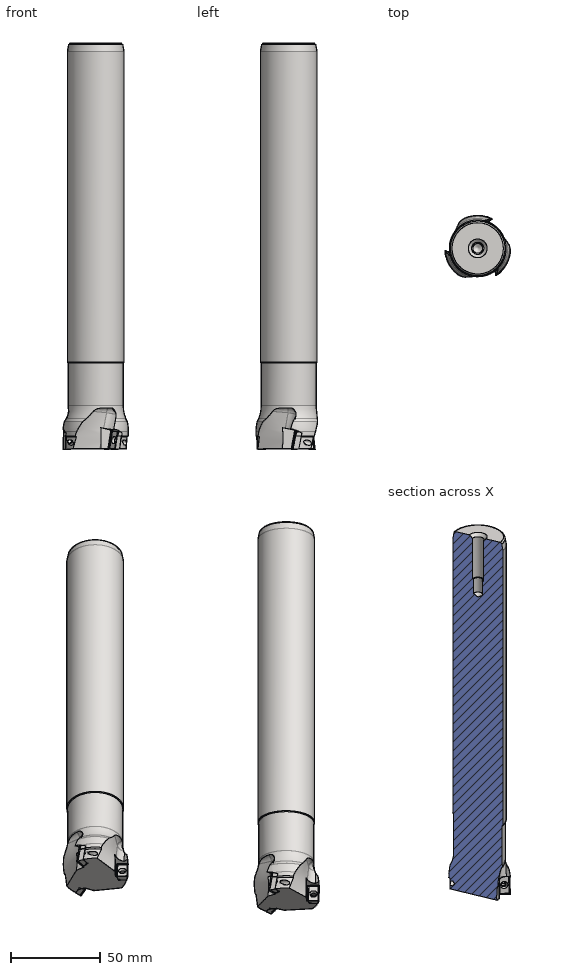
import cadquery as cq
import math

TOTAL_LENGTH = 228.0
FLUTE_COUNT = 3
FLUTE_PITCH = 360 / FLUTE_COUNT

SHANK_RADIUS = 16.0
COLLAR_TOP_RADIUS = 15.3
COLLAR_LENGTH = 4.8
TOP_CHAMFER = 1.0
SHANK_BOTTOM_Z = 49.0
NECK_RADIUS = 15.5

HEAD_BOTTOM_Z = 0.5
HEAD_RADIUS = 18.5
FLARE_TOP_Z = 24.6
FLARE_BOTTOM_Z = 17.5
FLARE_BOTTOM_RADIUS = 16.9
FLARE_SWELL = 0.35
CONE_BOTTOM_Z = 15.7
CONE_BOTTOM_RADIUS = 17.8
SHOULDER_Z = 10.3
SHOULDER_DROP = 0.2
RELIEF_TOP_Z = 7.0
RELIEF_RADIUS = 17.8

BORE_MOUTH_RADIUS = 5.2
BORE_MOUTH_DEPTH = 1.8
BORE_RADIUS = 3.5
BORE_DEPTH = 27.4
PILOT_RADIUS = 2.7
PILOT_DEPTH = 36.5
PILOT_TIP_DEPTH = 1.5

FLUTE_START_Z = -1.1
FLUTE_END_Z = 23.5
START_POINTS = ((-14.0, -12.0), (2.0, -12.0), (7.8, -14.4))
END_POINTS = ((-3.2, -17.8), (6.5, -11.2), (12.3, -11.2))
FLUTE_REACH = 36.5
FLUTE_RUNOUT_RADIUS = 3.0

INSERT_LENGTH = 11.2
INSERT_WIDTH = 6.5
INSERT_THICKNESS = 3.6
INSERT_CLEARANCE = 15.0
INSERT_CORNER_RADIUS = 0.7
TIP_RADIUS = 18.5
TIP_ANGLE = 306.3
AXIAL_RAKE = 11.0
WIPER_ANGLE = 3.0
CHIP_GROOVE_LAND = 0.7
CHIP_GROOVE_DEPTH = 0.5
SCREW_HOLE_RADIUS = 1.4
SCREW_HOLE_LENGTH = 20.5
COUNTERSINK_RADIUS = 2.3
COUNTERSINK_DEPTH = 1.4
POCKET_HEADROOM = 9.1
POCKET_SIDE_GAP = 0.5
POCKET_OVERRUN = 6.8


def around_axis(body, index):
    """Turn a body from the first flute to the flute with this index."""
    return body.rotate((0, 0, 0), (0, 0, 1), index * FLUTE_PITCH)


def insert_plane():
    """Rake face of the first insert: origin at its tip, x outward, y up along the cutting edge."""
    tip = math.radians(TIP_ANGLE)
    rake = math.radians(AXIAL_RAKE)
    outward = cq.Vector(math.cos(tip), math.sin(tip), 0)
    forward = cq.Vector(math.sin(tip), -math.cos(tip), 0)
    normal = forward * math.cos(rake) + cq.Vector(0, 0, math.sin(rake))
    return cq.Plane(origin=(outward * TIP_RADIUS).toTuple(), xDir=outward, normal=normal)


RAKE_PLANE = insert_plane()
INSERT_CENTRE = (-INSERT_WIDTH / 2, INSERT_LENGTH / 2)


def insert_outline():
    """Rake face outline from its outer lower tip; the bottom edge rises inward by the wiper angle.

    The tip stays sharp and the other corners are rounded.
    """
    wiper_rise = INSERT_WIDTH * math.tan(math.radians(WIPER_ANGLE))
    return (
        cq.Sketch()
        .polygon(
            [
                (0, 0),
                (0, INSERT_LENGTH),
                (-INSERT_WIDTH, INSERT_LENGTH),
                (-INSERT_WIDTH, wiper_rise),
                (0, 0),
            ]
        )
        .vertices("<X or >Y")
        .fillet(INSERT_CORNER_RADIUS)
    )


def insert_blank():
    """Outline carried back from the rake face, narrowing by the clearance angle."""
    return (
        cq.Workplane(RAKE_PLANE)
        .placeSketch(insert_outline())
        .extrude(-INSERT_THICKNESS, taper=INSERT_CLEARANCE)
    )


def screw_hole():
    """Hole square to the rake face, through the insert and the land behind it."""
    return (
        cq.Workplane(RAKE_PLANE)
        .center(*INSERT_CENTRE)
        .circle(SCREW_HOLE_RADIUS)
        .extrude(-SCREW_HOLE_LENGTH)
    )


def countersink():
    """Conical screw seat below the chip groove."""
    return (
        cq.Workplane(RAKE_PLANE)
        .center(*INSERT_CENTRE)
        .circle(COUNTERSINK_RADIUS)
        .workplane(offset=-COUNTERSINK_DEPTH - CHIP_GROOVE_DEPTH)
        .circle(SCREW_HOLE_RADIUS)
        .loft(ruled=True)
    )


def chip_groove():
    """Shallow recess in the rake face inside a narrow edge land."""
    return (
        cq.Workplane(RAKE_PLANE)
        .center(*INSERT_CENTRE)
        .rect(INSERT_WIDTH - 2 * CHIP_GROOVE_LAND, INSERT_LENGTH - 2 * CHIP_GROOVE_LAND)
        .extrude(-CHIP_GROOVE_DEPTH)
    )


def rake_clearance():
    """Open space in front of the rake face, running out past its outer and lower edges."""
    return (
        cq.Workplane(RAKE_PLANE)
        .moveTo(-INSERT_WIDTH - POCKET_SIDE_GAP, INSERT_LENGTH)
        .lineTo(POCKET_OVERRUN, INSERT_LENGTH)
        .lineTo(POCKET_OVERRUN, -POCKET_OVERRUN)
        .lineTo(-INSERT_WIDTH - POCKET_SIDE_GAP, -POCKET_OVERRUN)
        .close()
        .extrude(POCKET_HEADROOM)
    )


def revolved_blank():
    """Shank, neck and flared head as one turned shape."""
    shank_step = SHANK_RADIUS - NECK_RADIUS
    flare_mid = (NECK_RADIUS + FLARE_SWELL, (FLARE_TOP_Z + FLARE_BOTTOM_Z) / 2)
    shoulder_mid = (HEAD_RADIUS - SHOULDER_DROP, (CONE_BOTTOM_Z + SHOULDER_Z) / 2)
    return (
        cq.Workplane("XZ")
        .moveTo(0, HEAD_BOTTOM_Z)
        .lineTo(RELIEF_RADIUS, HEAD_BOTTOM_Z)
        .lineTo(RELIEF_RADIUS, RELIEF_TOP_Z)
        .lineTo(HEAD_RADIUS, RELIEF_TOP_Z + HEAD_RADIUS - RELIEF_RADIUS)
        .lineTo(HEAD_RADIUS, SHOULDER_Z)
        .threePointArc(shoulder_mid, (CONE_BOTTOM_RADIUS, CONE_BOTTOM_Z))
        .lineTo(FLARE_BOTTOM_RADIUS, FLARE_BOTTOM_Z)
        .threePointArc(flare_mid, (NECK_RADIUS, FLARE_TOP_Z))
        .lineTo(NECK_RADIUS, SHANK_BOTTOM_Z - shank_step)
        .lineTo(SHANK_RADIUS, SHANK_BOTTOM_Z)
        .lineTo(SHANK_RADIUS, TOTAL_LENGTH - COLLAR_LENGTH)
        .lineTo(COLLAR_TOP_RADIUS, TOTAL_LENGTH - TOP_CHAMFER)
        .lineTo(COLLAR_TOP_RADIUS - TOP_CHAMFER, TOTAL_LENGTH)
        .lineTo(0, TOTAL_LENGTH)
        .close()
        .revolve(360, (0, 0), (0, 1))
    )


def shank_bore():
    """Stepped blind bore with a conical mouth and tip in the shank end."""
    return (
        cq.Workplane("XZ")
        .moveTo(0, TOTAL_LENGTH)
        .lineTo(BORE_MOUTH_RADIUS, TOTAL_LENGTH)
        .lineTo(BORE_RADIUS, TOTAL_LENGTH - BORE_MOUTH_DEPTH)
        .lineTo(BORE_RADIUS, TOTAL_LENGTH - BORE_DEPTH)
        .lineTo(PILOT_RADIUS, TOTAL_LENGTH - BORE_DEPTH)
        .lineTo(PILOT_RADIUS, TOTAL_LENGTH - PILOT_DEPTH)
        .lineTo(0, TOTAL_LENGTH - PILOT_DEPTH - PILOT_TIP_DEPTH)
        .close()
        .revolve(360, (0, 0), (0, 1))
    )


def flute_section(z, points):
    """Closed wire: flat floor, hollow wall tangent to it, open toward -Y."""
    (edge_x, edge_y), (wall_x, wall_y), (wall_end_x, wall_end_y) = points
    outer_x = 2 * edge_x - wall_x
    outer_y = 2 * edge_y - wall_y
    return (
        cq.Workplane("XY", origin=(0, 0, z))
        .moveTo(outer_x, outer_y)
        .lineTo(wall_x, wall_y)
        .tangentArcPoint((wall_end_x, wall_end_y), relative=False)
        .lineTo(wall_end_x, -FLUTE_REACH)
        .lineTo(outer_x, -FLUTE_REACH)
        .close()
        .val()
    )


def flute_cutter():
    """Twisting flute with a rounded run-out at its upper end."""
    sections = [flute_section(FLUTE_START_Z, START_POINTS), flute_section(FLUTE_END_Z, END_POINTS)]
    cutter = cq.Workplane(cq.Solid.makeLoft(sections, True))
    return cutter.faces(">Z").edges().fillet(FLUTE_RUNOUT_RADIUS)


def holder_body():
    """Cutter body with its flutes, insert pockets, screw holes and bore."""
    body = revolved_blank().cut(shank_bore())
    for index in range(FLUTE_COUNT):
        for cutter in (flute_cutter(), rake_clearance(), insert_blank(), screw_hole()):
            body = body.cut(around_axis(cutter, index))
    return body


def cutting_inserts():
    """One separate insert for each flute."""
    insert = insert_blank().cut(chip_groove()).cut(countersink()).cut(screw_hole())
    return [around_axis(insert, index) for index in range(FLUTE_COUNT)]


holder = holder_body()
inserts = cutting_inserts()
result = cq.Compound.makeCompound([holder.val(), *[insert.val() for insert in inserts]])